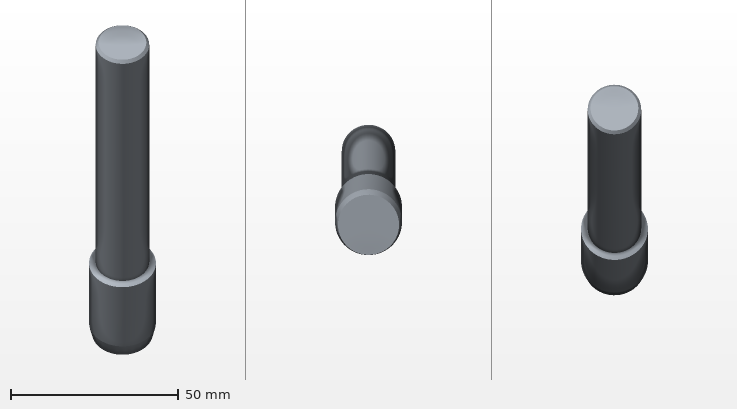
import cadquery as cq

total_height = 125.0
sleeve_radius = 10.0
shaft_radius = 8.0
shaft_chamfer = 0.9

shoulder_start = 30.0
shoulder_rise = 0.6
nose_height = 4.5
nose_radius = 9.1
nose_mid_radius = 9.6


def make_shaft():
    """Straight round shaft, chamfered at its top edge."""
    return (
        cq.Workplane("XY")
        .circle(shaft_radius)
        .extrude(total_height)
        .faces(">Z")
        .edges()
        .chamfer(shaft_chamfer)
    )


def make_sleeve():
    """Sleeve around the shaft, with a curved lead-in and a conical shoulder."""
    return (
        cq.Workplane("XZ")
        .moveTo(shaft_radius, 0)
        .lineTo(nose_radius, 0)
        .threePointArc((nose_mid_radius, nose_height / 2), (sleeve_radius, nose_height))
        .lineTo(sleeve_radius, shoulder_start)
        .lineTo(shaft_radius, shoulder_start + shoulder_rise)
        .close()
        .revolve(360, (0, 0, 0), (0, 1, 0))
    )


shaft = make_shaft()
sleeve = make_sleeve()

result = cq.Compound.makeCompound([shaft.val(), sleeve.val()])